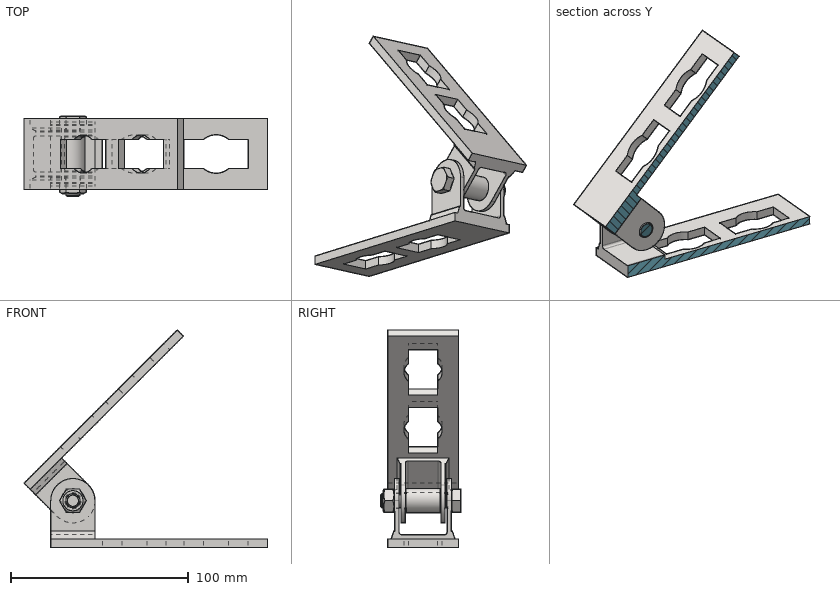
import cadquery as cq
import math

axis_height = 26.5
opening_angle = 45.0

plate_length = 122.0
plate_width = 40.0
plate_thickness = 5.0

slot_length = 35.9
slot_width = 16.3
slot_circle_diameter = 21.5
slot_pitch = 46.0
slot_end_margin = 11.0
slot_count = 2

lug_length = 25.0
lug_radius = lug_length / 2
lug_thickness = 2.5
lug_inner_fillet = 1.5
lower_lug_span = 32.0
upper_lug_span = 25.0
weld_foot_width = 2.0
weld_top_width = 0.5
weld_height = 4.4
lower_hole_diameter = 8.5
upper_hole_diameter = 9.0

spacer_diameter = 13.6
spacer_length = 19.2
across_flats = 13.0
hex_corner_diameter = across_flats / math.cos(math.radians(30))
hex_chamfer_angle = 30.0
head_height = 5.0
washer_face_diameter = 11.4
washer_face_height = 0.4
head_face_diameter = 13.6
nut_height = 6.6
nut_face_diameter = 11.4
thread_diameter = 8.0
neck_diameter = 7.3
neck_length = 3.2
tip_diameter = 6.6
tip_length = 1.4
tip_taper_length = 0.8


def y_cylinder(diameter, y_start, y_end):
    """Cylinder on the Y axis from y_start up to y_end."""
    return cq.Workplane("XZ", origin=(0, y_end, 0)).circle(diameter / 2).extrude(y_end - y_start)


def slot_cutters():
    """Rectangular slots with a round bulge at mid-length, counted from the free end."""
    free_end = plate_length - lug_radius
    first_centre = free_end - slot_end_margin - slot_length / 2
    centres = [(first_centre - i * slot_pitch, 0) for i in range(slot_count)]
    base = cq.Workplane("XY", origin=(0, 0, -axis_height)).pushPoints(centres)
    rectangles = base.rect(slot_length, slot_width).extrude(plate_thickness)
    circles = base.circle(slot_circle_diameter / 2).extrude(plate_thickness)
    return rectangles.union(circles)


def u_channel(span):
    """U-shaped lugs with rounded ends and welds along their feet, hinge axis on Y."""
    foot = plate_thickness - axis_height
    side_outline = (
        cq.Workplane("XZ", origin=(0, span / 2, 0))
        .moveTo(-lug_radius, foot)
        .lineTo(lug_radius, foot)
        .lineTo(lug_radius, 0)
        .threePointArc((0, lug_radius), (-lug_radius, 0))
        .close()
        .extrude(span)
    )
    inner_height = lug_radius - foot
    opening = (
        cq.Workplane("XY", origin=(0, 0, foot + lug_thickness))
        .rect(lug_length, span - 2 * lug_thickness)
        .extrude(inner_height)
        .edges("|X and <Z")
        .fillet(lug_inner_fillet)
    )
    channel = side_outline.cut(opening)
    for side in (-1, 1):
        weld = (
            cq.Workplane("YZ", origin=(-lug_radius, 0, 0))
            .moveTo(side * (span / 2 - lug_thickness), foot)
            .lineTo(side * (span / 2 + weld_foot_width), foot)
            .lineTo(side * (span / 2 + weld_top_width), foot + weld_height)
            .lineTo(side * (span / 2 - lug_thickness), foot + weld_height)
            .close()
            .extrude(lug_length)
            .cut(opening)
        )
        channel = channel.union(weld)
    return channel


def bracket(span, hole_diameter):
    """Slotted plate below the hinge axis with its pair of drilled lugs."""
    plate = cq.Workplane("XY", origin=(-lug_radius, 0, -axis_height)).box(
        plate_length, plate_width, plate_thickness, centered=(False, True, False)
    )
    hole = y_cylinder(hole_diameter, -span / 2, span / 2)
    return plate.cut(slot_cutters()).union(u_channel(span)).cut(hole)


def make_lower_bracket():
    return bracket(lower_lug_span, lower_hole_diameter)


def make_upper_bracket():
    """Narrow bracket that fits between the lower lugs, swung over the lower plate."""
    body = bracket(upper_lug_span, upper_hole_diameter)
    flipped = body.rotate((0, 0, 0), (1, 0, 0), 180)
    return flipped.rotate((0, 0, 0), (0, 1, 0), -opening_angle)


def hexagon(height):
    """Hexagon on the XY plane with two flats parallel to X."""
    return cq.Workplane("XY").polygon(6, hex_corner_diameter).extrude(height)


def turning_cone(height, face_diameter):
    """Cone that chamfers the corners of a hexagon down to face_diameter at its upper face."""
    face_radius = face_diameter / 2
    base_radius = face_radius + height / math.tan(math.radians(hex_chamfer_angle))
    return cq.Workplane(cq.Solid.makeCone(base_radius, face_radius, height))


def make_bolt():
    """Bolt and nut clamped on the lower lugs: head on the +Y side, nut on the -Y side."""
    seat = lower_lug_span / 2
    tip_end = -seat - nut_height - tip_length
    head = (
        hexagon(head_height)
        .intersect(turning_cone(head_height, head_face_diameter))
        .rotate((0, 0, 0), (1, 0, 0), -90)
        .translate((0, seat + washer_face_height, 0))
    )
    nut_cone = turning_cone(nut_height, nut_face_diameter)
    seat_cone = nut_cone.mirror("XY").translate((0, 0, nut_height))
    nut = (
        hexagon(nut_height)
        .intersect(nut_cone)
        .intersect(seat_cone)
        .rotate((0, 0, 0), (1, 0, 0), 90)
        .translate((0, -seat, 0))
    )
    washer_face = y_cylinder(washer_face_diameter, seat, seat + washer_face_height)
    neck = y_cylinder(neck_diameter, seat - neck_length, seat)
    tip_taper = (thread_diameter - tip_diameter) / 2
    thread = (
        y_cylinder(thread_diameter, tip_end, seat - neck_length)
        .faces("<Y")
        .chamfer(tip_taper, tip_taper_length)
    )
    spacer = y_cylinder(spacer_diameter, -spacer_length / 2, spacer_length / 2)
    return thread.union(neck).union(washer_face).union(head).union(nut).union(spacer)


lift = (0, 0, axis_height)
lower_bracket = make_lower_bracket().translate(lift)
upper_bracket = make_upper_bracket().translate(lift)
bolt = make_bolt().translate(lift)

bodies = [lower_bracket, upper_bracket, bolt]
result = cq.Compound.makeCompound([body.solids().val() for body in bodies])